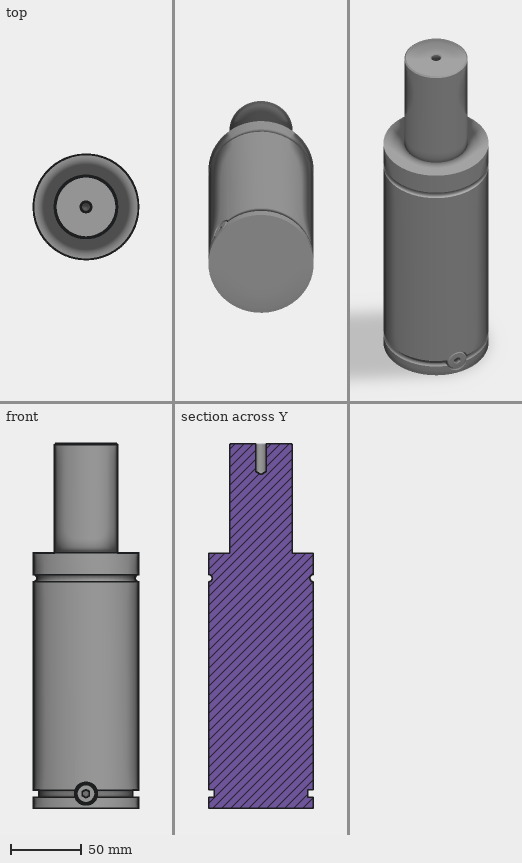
import cadquery as cq
import math

body_diameter = 75.0
body_radius = body_diameter / 2
body_height = 182.0

rod_diameter = 45.0
total_height = 260.0
rod_chamfer = 1.0

upper_groove_radius = 2.5
upper_groove_height = 164.0

lower_groove_bottom = 8.0
lower_groove_top = 13.0
lower_groove_diameter = 67.0

tap_diameter = 6.8
tap_depth = 20.0
countersink_diameter = 8.0
drill_point_angle = 118.0

port_height = 10.5
pocket_diameter = 16.0
pocket_floor_radius = 32.0
plug_diameter = 14.0
plug_face_radius = 37.0
plug_chamfer = 0.5
socket_sides = 6
socket_width = 5.0
socket_depth = 3.0


def cylinder_up(diameter, bottom, top):
    """Cylinder on the main axis between two heights."""
    return cq.Workplane("XY").workplane(offset=bottom).circle(diameter / 2).extrude(top - bottom)


def cylinder_radial(diameter, inner, outer):
    """Cylinder along -Y at the port height, between two distances from the main axis."""
    plane = cq.Workplane("XZ", origin=(0, -inner, port_height))
    return plane.circle(diameter / 2).extrude(outer - inner)


def make_body():
    return cylinder_up(body_diameter, 0, body_height)


def make_rod():
    rod = cylinder_up(rod_diameter, body_height, total_height)
    return rod.faces(">Z").chamfer(rod_chamfer)


def make_upper_groove():
    """Ring of round section centred on the body surface."""
    section = cq.Workplane("XZ").center(body_radius, upper_groove_height).circle(upper_groove_radius)
    return section.revolve(360, (-body_radius, 0, 0), (-body_radius, 1, 0))


def make_lower_groove():
    """Ring of rectangular section reaching in from the body surface."""
    outer = cylinder_up(body_diameter, lower_groove_bottom, lower_groove_top)
    return outer.cut(cylinder_up(lower_groove_diameter, lower_groove_bottom, lower_groove_top))


def make_tapped_hole():
    """Tap drill hole on the main axis, with its countersink and conical floor."""
    tap_radius = tap_diameter / 2
    countersink_radius = countersink_diameter / 2
    countersink_depth = countersink_radius - tap_radius
    point_length = tap_radius / math.tan(math.radians(drill_point_angle / 2))
    floor = total_height - tap_depth
    profile = (
        cq.Workplane("XZ")
        .moveTo(0, total_height)
        .lineTo(countersink_radius, total_height)
        .lineTo(tap_radius, total_height - countersink_depth)
        .lineTo(tap_radius, floor)
        .lineTo(0, floor - point_length)
        .close()
    )
    return profile.revolve(360, (0, 0, 0), (0, 1, 0))


def make_socket():
    """Hexagonal socket in the plug face, with one corner pointing up."""
    corner_diameter = socket_width / math.cos(math.pi / socket_sides)
    plane = cq.Workplane("XZ", origin=(0, socket_depth - plug_face_radius, port_height))
    return plane.transformed(rotate=(0, 0, 90)).polygon(socket_sides, corner_diameter).extrude(socket_depth)


def add_port(part):
    """Sink the pocket into the body and seat the plug in it."""
    pocket = cylinder_radial(pocket_diameter, pocket_floor_radius, body_radius)
    plug = cylinder_radial(plug_diameter, pocket_floor_radius, plug_face_radius)
    plug = plug.faces("<Y").chamfer(plug_chamfer)
    return part.cut(pocket).union(plug).cut(make_socket())


result = make_body().union(make_rod())
result = result.cut(make_upper_groove()).cut(make_lower_groove()).cut(make_tapped_hole())
result = add_port(result)